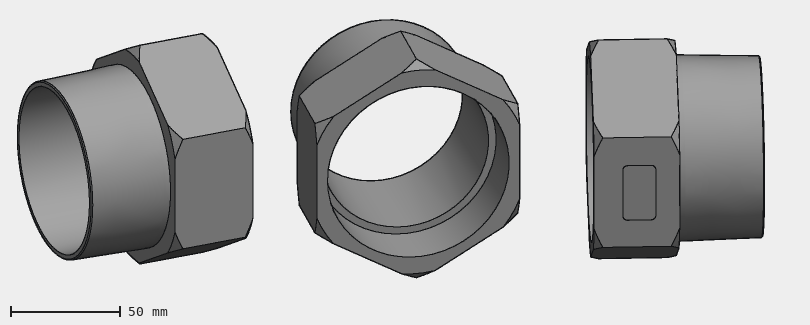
import cadquery as cq
import math

hex_across_corners = 109.7
hex_across_flats = hex_across_corners * math.cos(math.pi / 6)
hex_length = 39.0
corner_bevel = 4.0

total_length = 78.0
collar_diameter = 85.0
collar_length = 2.9
rim_diameter = 83.0
rim_bevel = 0.5

bore_diameter = 78.0
socket_diameter = 85.0
socket_depth = 26.0

pad_width = 15.0
pad_height = 27.3
pad_thickness = 0.1
pad_corner_radius = 2.2
pad_offset_y = -1.1
pad_offset_z = -0.3

back_y = total_length / 2
shoulder_y = back_y - hex_length
rim_y = -total_length / 2


def revolve_about_y(points):
    """Solid of revolution about Y from (radius, y) profile points."""
    return cq.Workplane("XY").polyline(points).close().revolve(360, (0, 0), (0, 1))


def hexagon_body():
    """Hexagonal prism with two corners on Z and its corners bevelled at both ends."""
    prism = (
        cq.Workplane("XZ", origin=(0, back_y, 0))
        .transformed(rotate=(0, 0, 90))
        .polygon(6, hex_across_corners)
        .extrude(hex_length)
    )
    corner_radius = hex_across_corners / 2
    face_radius = corner_radius - corner_bevel
    bevel_envelope = revolve_about_y([
        (0, back_y),
        (face_radius, back_y),
        (corner_radius, back_y - corner_bevel),
        (corner_radius, shoulder_y + corner_bevel),
        (face_radius, shoulder_y),
        (0, shoulder_y),
    ])
    return prism.intersect(bevel_envelope)


def spigot():
    """Collar, tapered sleeve and bevelled rim, solid until bored."""
    collar_radius = collar_diameter / 2
    rim_radius = rim_diameter / 2
    return revolve_about_y([
        (0, shoulder_y),
        (collar_radius, shoulder_y),
        (collar_radius, shoulder_y - collar_length),
        (rim_radius, rim_y + rim_bevel),
        (rim_radius - rim_bevel, rim_y),
        (0, rim_y),
    ])


def label_pad():
    """Thin rounded rectangle standing on the -X flat, slightly off the middle of the flat."""
    pad_x = -hex_across_flats / 2 - pad_thickness
    pad_y = (back_y + shoulder_y) / 2 + pad_offset_y
    return (
        cq.Workplane("YZ", origin=(pad_x, pad_y, pad_offset_z))
        .rect(pad_width, pad_height)
        .extrude(2 * pad_thickness)
        .edges("|X")
        .fillet(pad_corner_radius)
    )


def bore_and_socket():
    """Stepped hole running the full length of the part."""
    bore_radius = bore_diameter / 2
    socket_radius = socket_diameter / 2
    socket_floor_y = back_y - socket_depth
    return revolve_about_y([
        (0, back_y),
        (socket_radius, back_y),
        (socket_radius, socket_floor_y),
        (bore_radius, socket_floor_y),
        (bore_radius, rim_y),
        (0, rim_y),
    ])


result = hexagon_body().union(spigot()).union(label_pad()).cut(bore_and_socket())